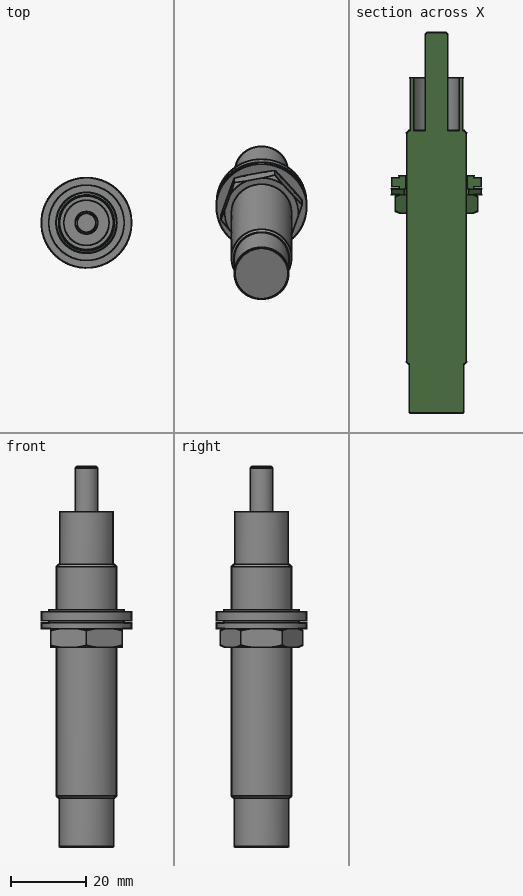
import cadquery as cq
import math

housing_length = 89.0
tail_diameter = 14.5
tail_length = 13.0
tail_chamfer = 0.25
thread_diameter = 16.0
thread_length = 62.0
thread_chamfer = 0.6
neck_diameter = 14.2
bore_diameter = 12.0
bore_depth = 14.0
rod_diameter = 6.0
rod_stroke = 12.0
rod_chamfer = 0.5

nut_bottom = 53.0
nut_height = 5.0
nut_across_flats = 19.0
nut_crown_diameter = 19.5
nut_chamfer_angle = 25.0

washer_outer_diameter = 24.0
washer_inner_diameter = 17.0
washer_thickness = 1.5

seal_body_diameter = 23.9
seal_body_thickness = 2.5
seal_lip_diameter = 20.0
seal_lip_height = 0.5
seal_inner_diameter = 16.2

thread_top = tail_length + thread_length
bore_floor = housing_length - bore_depth
rod_length = bore_depth + rod_stroke
nut_top = nut_bottom + nut_height
seal_bottom = nut_top + washer_thickness
seal_thickness = seal_body_thickness + 2 * seal_lip_height
nut_corner_radius = nut_across_flats / math.sqrt(3)


def disc(diameter, bottom, height):
    """Upright cylinder on the Z axis, starting at the given level."""
    return cq.Workplane("XY").workplane(offset=bottom).circle(diameter / 2).extrude(height)


def make_absorber():
    """Plain tail, thread with chamfered ends, bored neck and the rod on the bore floor."""
    tail = disc(tail_diameter, 0, tail_length).faces("<Z").chamfer(tail_chamfer)
    thread = disc(thread_diameter, tail_length, thread_length)
    thread = thread.faces("<Z or >Z").chamfer(thread_chamfer)
    neck = disc(neck_diameter, thread_top, housing_length - thread_top)
    bore = disc(bore_diameter, bore_floor, bore_depth)
    rod = disc(rod_diameter, bore_floor, rod_length).faces(">Z").chamfer(rod_chamfer)
    return tail.union(thread).union(neck).cut(bore).union(rod)


def make_nut_envelope():
    """Solid of revolution that bevels the hexagon corners at both ends of the nut."""
    crown_radius = nut_crown_diameter / 2
    drop = (nut_corner_radius - crown_radius) * math.tan(math.radians(nut_chamfer_angle))
    profile = [
        (0, nut_bottom),
        (crown_radius, nut_bottom),
        (nut_corner_radius, nut_bottom + drop),
        (nut_corner_radius, nut_top - drop),
        (crown_radius, nut_top),
        (0, nut_top),
    ]
    return cq.Workplane("XZ").polyline(profile).close().revolve(360, (0, 0), (0, 1))


def make_nut():
    """Hexagon with two corners on the Y axis, bored to fit the thread."""
    hexagon = (
        cq.Workplane("XY")
        .workplane(offset=nut_bottom)
        .transformed(rotate=(0, 0, 90))
        .polygon(6, 2 * nut_corner_radius)
        .extrude(nut_height)
    )
    hole = disc(thread_diameter, nut_bottom, nut_height)
    return hexagon.intersect(make_nut_envelope()).cut(hole)


def make_washer():
    """Plain flat ring."""
    blank = disc(washer_outer_diameter, nut_top, washer_thickness)
    return blank.cut(disc(washer_inner_diameter, nut_top, washer_thickness))


def make_seal():
    """Ring with a narrower raised lip on each face."""
    lips = disc(seal_lip_diameter, seal_bottom, seal_thickness)
    body = disc(seal_body_diameter, seal_bottom + seal_lip_height, seal_body_thickness)
    hole = disc(seal_inner_diameter, seal_bottom, seal_thickness)
    return lips.union(body).cut(hole)


absorber = make_absorber()
nut = make_nut()
washer = make_washer()
seal = make_seal()

result = cq.Compound.makeCompound([absorber.val(), nut.val(), washer.val(), seal.val()])